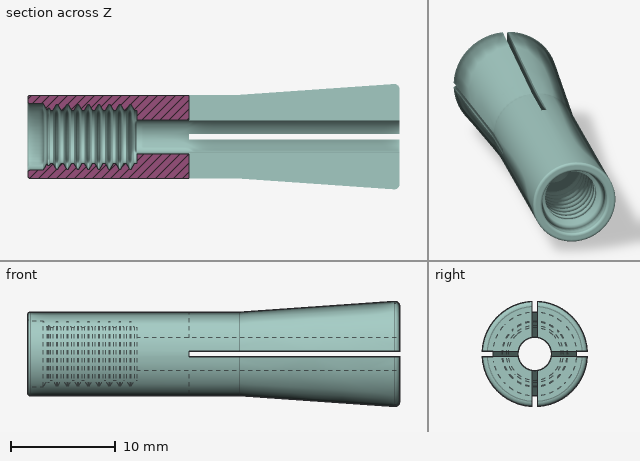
import cadquery as cq
import math

LENGTH = 35.5

SHANK_RADIUS = 8.0 / 2
CONE_START = 20.2
CONE_HALF_ANGLE = math.radians(3.99)
CONE_END_FILLET = 0.5
SHANK_END_FILLET = 0.25

BORE_RADIUS = 3.17 / 2
RECESS_RADIUS = 6.3 / 2
RECESS_DEPTH = 1.48
RECESS_FILLET = 0.25

THREAD_MINOR_RADIUS = 5.04 / 2
THREAD_MAJOR_RADIUS = 6.15 / 2
THREAD_PITCH = 1.0
THREAD_CREST_WIDTH = THREAD_PITCH / 4
THREAD_FLANK_ANGLE = math.radians(30.0)
THREAD_GROOVES = 8

RUN_IN_WIDTH = 0.33
RUN_IN_DEPTH = 0.2

SLOT_WIDTH = 0.5
SLOT_START = 15.4
SLOT_ANGLES = (0, 90)

THREAD_START = RECESS_DEPTH + (RECESS_RADIUS - THREAD_MINOR_RADIUS) * math.tan(THREAD_FLANK_ANGLE)
FIRST_CREST = THREAD_START + RUN_IN_WIDTH
THREAD_END = FIRST_CREST + THREAD_GROOVES * THREAD_PITCH + THREAD_CREST_WIDTH


def revolve_about_x(profile):
    return profile.close().revolve(360, (0, 0, 0), (1, 0, 0))


def make_body():
    """Solid shank and flared cone with both outer rims rounded."""
    cone_end_radius = SHANK_RADIUS + (LENGTH - CONE_START) * math.tan(CONE_HALF_ANGLE)
    profile = (
        cq.Workplane("XY")
        .moveTo(0, 0)
        .lineTo(0, SHANK_RADIUS)
        .lineTo(CONE_START, SHANK_RADIUS)
        .lineTo(LENGTH, cone_end_radius)
        .lineTo(LENGTH, 0)
    )
    body = revolve_about_x(profile)
    body = body.faces("<X").edges().fillet(SHANK_END_FILLET)
    return body.faces(">X").edges().fillet(CONE_END_FILLET)


def make_cavity():
    """Entry recess, lead-in cone, thread core and through bore."""
    profile = (
        cq.Workplane("XY")
        .moveTo(0, 0)
        .lineTo(0, RECESS_RADIUS)
        .lineTo(RECESS_DEPTH, RECESS_RADIUS)
        .lineTo(THREAD_START, THREAD_MINOR_RADIUS)
        .lineTo(THREAD_END, THREAD_MINOR_RADIUS)
        .lineTo(THREAD_END, BORE_RADIUS)
        .lineTo(LENGTH, BORE_RADIUS)
        .lineTo(LENGTH, 0)
    )
    return revolve_about_x(profile)


def make_thread_groove(start, width, depth):
    """One ring groove with sloped flanks, beginning at the given X position."""
    flank_length = depth * math.tan(THREAD_FLANK_ANGLE)
    end = start + width
    floor_radius = THREAD_MINOR_RADIUS + depth
    profile = (
        cq.Workplane("XY")
        .moveTo(start, 0)
        .lineTo(start, THREAD_MINOR_RADIUS)
        .lineTo(start + flank_length, floor_radius)
        .lineTo(end - flank_length, floor_radius)
        .lineTo(end, THREAD_MINOR_RADIUS)
        .lineTo(end, 0)
    )
    return revolve_about_x(profile)


def make_slot():
    """Flat blade across the full diameter, open at the high-X end."""
    blade_height = 4 * SHANK_RADIUS
    blade_length = LENGTH - SLOT_START
    blade = cq.Workplane("XY").box(blade_length, SLOT_WIDTH, blade_height, centered=(False, True, True))
    return blade.translate((SLOT_START, 0, 0))


def find_recess_rim(body):
    """Smallest circle on the shank end face, the mouth of the entry recess."""
    rim_size = cq.selectors.RadiusNthSelector(0)
    return body.faces("<X").edges(rim_size)


result = make_body().cut(make_cavity())
result = find_recess_rim(result).fillet(RECESS_FILLET)

result = result.cut(make_thread_groove(THREAD_START, RUN_IN_WIDTH, RUN_IN_DEPTH))

groove_width = THREAD_PITCH - THREAD_CREST_WIDTH
groove_depth = THREAD_MAJOR_RADIUS - THREAD_MINOR_RADIUS
for index in range(THREAD_GROOVES):
    groove_start = FIRST_CREST + THREAD_CREST_WIDTH + index * THREAD_PITCH
    result = result.cut(make_thread_groove(groove_start, groove_width, groove_depth))

for angle in SLOT_ANGLES:
    result = result.cut(make_slot().rotate((0, 0, 0), (1, 0, 0), angle))